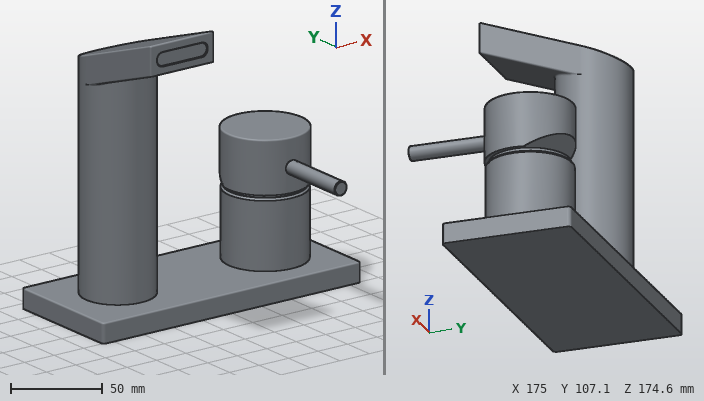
import cadquery as cq
import math

PLATE_LENGTH = 175.0
PLATE_WIDTH = 75.0
PLATE_THICKNESS = 12.0
PLATE_CORNER_RADIUS = 2.0
PLATE_EDGE_RADIUS = 1.0

STATION_OFFSET = 50.0
SPOUT_X = -STATION_OFFSET
MIXER_X = STATION_OFFSET

COLUMN_RADIUS = 21.5
SPOUT_REACH = 59.3
SPOUT_TOP_Z = 174.55
SPOUT_DEPTH = 18.0
SPOUT_RISE = math.radians(20)
SPOUT_EDGE_RADIUS = 0.9
SPOUT_ROOT_RADIUS = 1.2

OUTLET_LENGTH = 34.5
OUTLET_HEIGHT = 8.6
OUTLET_CORNER_RADIUS = 4.1
OUTLET_DEPTH = 0.5
OUTLET_FLOOR_BEVEL = 0.45
OUTLET_Z = SPOUT_TOP_Z - SPOUT_DEPTH / 2

BODY_RADIUS = 24.5
BODY_TOP_Z = 54.0
BODY_CHAMFER = 1.3
NECK_RADIUS = 22.5
KNOB_RADIUS = 25.0
KNOB_BOTTOM_Z = 56.0
KNOB_TOP_Z = 88.0
KNOB_EDGE_RADIUS = 1.0

RELIEF_BACK_Z = 67.3
RELIEF_SLOPE = math.radians(30)

LEVER_RADIUS = 4.2
LEVER_Z = 70.6
OVERALL_WIDTH = 107.1
LEVER_REACH = OVERALL_WIDTH - PLATE_WIDTH / 2
LEVER_CHAMFER = 0.4


def cylinder(x, radius, bottom, top):
    """Upright cylinder standing on the X axis."""
    return cq.Workplane("XY", origin=(x, 0, bottom)).circle(radius).extrude(top - bottom)


def side_prism(x, half_width, outline):
    """Prism with a (Y, Z) outline, reaching half_width to either side of x."""
    return cq.Workplane("YZ", origin=(x, 0, 0)).polyline(outline).close().extrude(half_width, both=True)


def make_plate():
    """Flat base with rounded corners and a rounded top edge."""
    plate = cq.Workplane("XY").box(
        PLATE_LENGTH, PLATE_WIDTH, PLATE_THICKNESS, centered=(True, True, False)
    )
    plate = plate.edges("|Z").fillet(PLATE_CORNER_RADIUS)
    return plate.faces(">Z").edges().fillet(PLATE_EDGE_RADIUS)


def make_spout():
    """Round column whose slanted top runs on into a spout of the same width."""
    slope = math.tan(SPOUT_RISE)
    slope_normal = cq.Vector(0, math.sin(SPOUT_RISE), math.cos(SPOUT_RISE))
    slanted_top = cq.selectors.DirectionSelector(slope_normal)
    slanted_underside = cq.selectors.DirectionSelector(slope_normal * -1)

    corner_loss = SPOUT_EDGE_RADIUS * (slope + 1 / math.cos(SPOUT_RISE) - 1)
    front_top = SPOUT_TOP_Z + corner_loss
    front_bottom = front_top - SPOUT_DEPTH
    axis_drop = SPOUT_REACH * slope
    back_drop = (SPOUT_REACH + COLUMN_RADIUS) * slope

    arm = side_prism(
        SPOUT_X,
        COLUMN_RADIUS,
        [
            (-SPOUT_REACH, front_top),
            (-SPOUT_REACH, front_bottom),
            (0, front_bottom - axis_drop),
            (0, front_top - axis_drop),
        ],
    )
    front_corners = arm.faces("<Y").edges("|Z")
    underside_edges = arm.faces(slanted_underside).edges("not >Y")
    arm = underside_edges.add(front_corners).fillet(SPOUT_EDGE_RADIUS)

    below_top = side_prism(
        SPOUT_X,
        COLUMN_RADIUS,
        [
            (-SPOUT_REACH, 0),
            (-SPOUT_REACH, front_top),
            (COLUMN_RADIUS, front_top - back_drop),
            (COLUMN_RADIUS, 0),
        ],
    )
    column = cylinder(SPOUT_X, COLUMN_RADIUS, 0, front_top).intersect(below_top)

    spout = column.union(arm)
    spout = spout.faces(slanted_top).edges().fillet(SPOUT_EDGE_RADIUS)

    return spout.edges("%ELLIPSE").fillet(SPOUT_ROOT_RADIUS)


def make_outlet():
    """Shallow rounded recess with a bevelled floor edge, opening toward -Y."""
    outlet = (
        cq.Workplane("XZ", origin=(SPOUT_X, -SPOUT_REACH, OUTLET_Z))
        .rect(OUTLET_LENGTH, OUTLET_HEIGHT)
        .extrude(-OUTLET_DEPTH)
    )
    outlet = outlet.edges("|Y").fillet(OUTLET_CORNER_RADIUS)
    return outlet.faces(">Y").chamfer(OUTLET_FLOOR_BEVEL)


def make_body():
    """Fixed lower part of the mixer with the narrower neck above it."""
    body = cylinder(MIXER_X, BODY_RADIUS, 0, BODY_TOP_Z)
    body = body.faces(">Z").chamfer(BODY_CHAMFER)
    neck = cylinder(MIXER_X, NECK_RADIUS, BODY_TOP_Z, KNOB_BOTTOM_Z)
    return body.union(neck)


def make_knob():
    """Turning knob, cut away on a slant under its back."""
    knob = cylinder(MIXER_X, KNOB_RADIUS, KNOB_BOTTOM_Z, KNOB_TOP_Z)
    knob = knob.faces(">Z").edges().fillet(KNOB_EDGE_RADIUS)
    relief_run = (RELIEF_BACK_Z - KNOB_BOTTOM_Z) / math.tan(RELIEF_SLOPE)
    relief = side_prism(
        MIXER_X,
        KNOB_RADIUS,
        [
            (KNOB_RADIUS, RELIEF_BACK_Z),
            (KNOB_RADIUS, KNOB_BOTTOM_Z),
            (KNOB_RADIUS - relief_run, KNOB_BOTTOM_Z),
        ],
    )
    return knob.cut(relief)


def make_lever():
    """Round rod from the knob's axis out toward -Y, with a chamfered tip."""
    lever = cq.Workplane("XZ", origin=(MIXER_X, 0, LEVER_Z)).circle(LEVER_RADIUS).extrude(LEVER_REACH)
    return lever.faces("<Y").chamfer(LEVER_CHAMFER)


spout_with_outlet = make_spout().cut(make_outlet())
mixer = make_body().union(make_knob()).union(make_lever())
result = make_plate().union(spout_with_outlet).union(mixer)